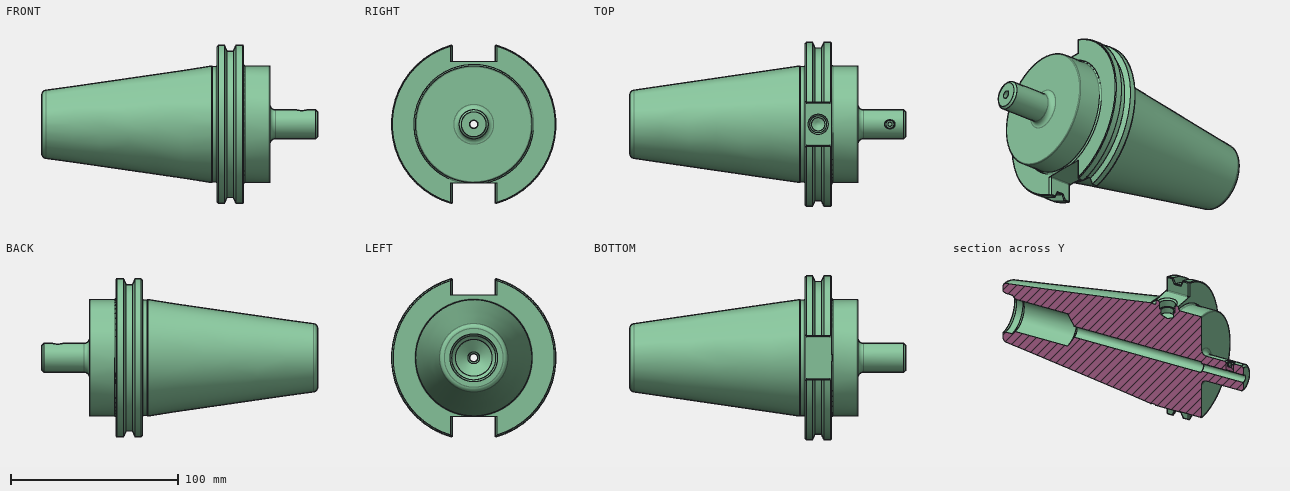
import cadquery as cq
import math


GAUGE_DIA = 69.85
TAPER_RATE = 7 / 24
TAPER_LENGTH = 101.6
TAPER_END_RADIUS = 2.9
NECK_DIA = 69.34
NECK_STEP = 0.5
NECK_FILLET = 0.5

FLANGE_DIA = 98.425
FLANGE_BACK = 3.175
FLANGE_FRONT = 19.05
BACK_RIM_CHAMFER = 1.0
FRONT_RIM_CHAMFER = 0.5
GROOVE_CENTER = (FLANGE_BACK + FLANGE_FRONT) / 2
GROOVE_FLOOR_WIDTH = 3.7
GROOVE_MOUTH_WIDTH = 6.9
GROOVE_DEPTH = 3.4

BODY_DIA = GAUGE_DIA
BODY_FRONT = 34.925
BODY_FILLET = 0.9
BODY_ROUND = 0.5
NOSE_DIA = 17.45
NOSE_FRONT = 63.5
NOSE_FILLET = 3.175
NOSE_CHAMFER = 1.27

MOUTH_DIA = 28.6
MOUTH_DEPTH = 2.0
COUNTERBORE_DIA = 26.36
COUNTERBORE_DEPTH = 6.35
THREAD_BORE_DIA = 21.97
THREAD_BORE_DEPTH = 44.45
PASSAGE_DIA = 7.11
COOLANT_DIA = 4.76
DRILL_POINT_HALF_ANGLE = 59

SLOT_WIDTH = 25.6
SLOT_FACE_CHAMFER = 1.0
SLOT_RIM_CHAMFER = 0.59
SLOT_FLOOR_FILLET = 0.4
UPPER_SLOT_FLOOR = 37.65
LOWER_SLOT_FLOOR = 35.2

SIDE_HOLE_MOUTH_DIA = 12.1
SIDE_HOLE_DIA = 10.13
SIDE_HOLE_DEPTH = 5.3
SIDE_PILOT_DIA = 8.0
SIDE_PILOT_DEPTH = 9.0
SIDE_POINT_HALF_ANGLE = 70

SCREW_X = NOSE_FRONT - 9.525
SCREW_DIA = 4.83
SCREW_POINT_DIA = 4.04
SCREW_BOTTOM = 2.8
SCREW_TOP = 7.6
SCREW_HOLE_MOUTH_DIA = 6.4
SOCKET_WIDTH = 2.38
SOCKET_DEPTH = 2.0


def cone_height(large_dia, small_dia, half_angle):
    return (large_dia - small_dia) / 2 / math.tan(math.radians(half_angle))


def revolve_about_x(profile):
    return profile.close().revolve(360, (0, 0, 0), (1, 0, 0))


def taper_shank():
    end_radius = (GAUGE_DIA - TAPER_RATE * TAPER_LENGTH) / 2
    profile = (
        cq.Workplane("XY")
        .moveTo(-TAPER_LENGTH, 0)
        .lineTo(-TAPER_LENGTH, end_radius)
        .lineTo(0, GAUGE_DIA / 2)
        .lineTo(NECK_STEP, NECK_DIA / 2)
        .lineTo(FLANGE_BACK, NECK_DIA / 2)
        .lineTo(FLANGE_BACK, 0)
    )
    return revolve_about_x(profile).faces("<X").edges().fillet(TAPER_END_RADIUS)


def flange():
    rim = FLANGE_DIA / 2
    floor = rim - GROOVE_DEPTH
    half_floor = GROOVE_FLOOR_WIDTH / 2
    half_mouth = GROOVE_MOUTH_WIDTH / 2
    profile = (
        cq.Workplane("XY")
        .moveTo(FLANGE_BACK, 0)
        .lineTo(FLANGE_BACK, rim - BACK_RIM_CHAMFER)
        .lineTo(FLANGE_BACK + BACK_RIM_CHAMFER, rim)
        .lineTo(GROOVE_CENTER - half_mouth, rim)
        .lineTo(GROOVE_CENTER - half_floor, floor)
        .lineTo(GROOVE_CENTER + half_floor, floor)
        .lineTo(GROOVE_CENTER + half_mouth, rim)
        .lineTo(FLANGE_FRONT - FRONT_RIM_CHAMFER, rim)
        .lineTo(FLANGE_FRONT, rim - FRONT_RIM_CHAMFER)
        .lineTo(FLANGE_FRONT, 0)
    )
    disc = revolve_about_x(profile).union(fillet_ring(FLANGE_FRONT, 1, BODY_DIA / 2, BODY_FILLET))
    for side, floor_height in ((1, UPPER_SLOT_FLOOR), (-1, LOWER_SLOT_FLOOR)):
        disc = cut_drive_slot(disc, side, floor_height)
    return disc


def cut_drive_slot(disc, side, floor_height):
    """Cut a slot above (side = 1) or below (side = -1) the axis and chamfer its walls."""
    half_width = SLOT_WIDTH / 2
    slot_height = FLANGE_DIA / 2
    slot = cq.Workplane("XY").box(FLANGE_FRONT * 2, SLOT_WIDTH, slot_height)
    slot = slot.edges("|X and <Z" if side > 0 else "|X and >Z").fillet(SLOT_FLOOR_FILLET)
    disc = disc.cut(slot.translate((GROOVE_CENTER, 0, side * (floor_height + slot_height / 2))))

    clearance = 0.1
    rim_low = side * (FLANGE_DIA / 2 - 2 * GROOVE_DEPTH)
    rim_edges = cq.selectors.BoxSelector(
        (FLANGE_BACK + clearance, -half_width - clearance, rim_low),
        (FLANGE_FRONT - clearance, half_width + clearance, side * FLANGE_DIA / 2),
    )
    disc = disc.edges(rim_edges).chamfer(SLOT_RIM_CHAMFER)

    for face_x, inward in ((FLANGE_BACK, 1), (FLANGE_FRONT, -1)):
        opening = (
            cq.Workplane("XY", origin=(0, 0, side * floor_height))
            .moveTo(face_x, half_width + SLOT_FACE_CHAMFER)
            .lineTo(face_x + inward * SLOT_FACE_CHAMFER, half_width)
            .lineTo(face_x + inward * SLOT_FACE_CHAMFER, -half_width)
            .lineTo(face_x, -half_width - SLOT_FACE_CHAMFER)
            .close()
            .extrude(side * slot_height)
        )
        disc = disc.cut(opening)
    return disc


def fillet_ring(x_face, direction, radius, size):
    """Ring that rounds the inner corner between a cylinder and a face across the axis."""
    x_end = x_face + direction * size
    profile = (
        cq.Workplane("XY")
        .moveTo(x_face, 0)
        .lineTo(x_face, radius + size)
        .radiusArc((x_end, radius), -direction * size)
        .lineTo(x_end, 0)
    )
    return revolve_about_x(profile)


def cylinder_x(x_start, x_end, diameter):
    return cq.Workplane("YZ", origin=(x_start, 0, 0)).circle(diameter / 2).extrude(x_end - x_start)


def front_body():
    body = cylinder_x(FLANGE_FRONT, BODY_FRONT, BODY_DIA).faces(">X").edges().fillet(BODY_ROUND)
    nose = cylinder_x(BODY_FRONT, NOSE_FRONT, NOSE_DIA).faces(">X").edges().chamfer(NOSE_CHAMFER)
    return body.union(nose)


def axial_bore():
    back = -TAPER_LENGTH
    step = back + COUNTERBORE_DEPTH
    step_end = step + (COUNTERBORE_DIA - THREAD_BORE_DIA) / 2
    cone_start = back + THREAD_BORE_DEPTH
    cone_end = cone_start + cone_height(THREAD_BORE_DIA, PASSAGE_DIA, DRILL_POINT_HALF_ANGLE)
    passage_tip = BODY_FRONT - cone_height(PASSAGE_DIA, COOLANT_DIA, DRILL_POINT_HALF_ANGLE)
    profile = (
        cq.Workplane("XY")
        .moveTo(back, 0)
        .lineTo(back, MOUTH_DIA / 2)
        .lineTo(back + MOUTH_DEPTH, COUNTERBORE_DIA / 2)
        .lineTo(step, COUNTERBORE_DIA / 2)
        .lineTo(step_end, THREAD_BORE_DIA / 2)
        .lineTo(cone_start, THREAD_BORE_DIA / 2)
        .lineTo(cone_end, PASSAGE_DIA / 2)
        .lineTo(passage_tip, PASSAGE_DIA / 2)
        .lineTo(BODY_FRONT, COOLANT_DIA / 2)
        .lineTo(NOSE_FRONT, COOLANT_DIA / 2)
        .lineTo(NOSE_FRONT, 0)
    )
    return revolve_about_x(profile)


def side_hole():
    top = UPPER_SLOT_FLOOR
    step = top - SIDE_HOLE_DEPTH
    pilot_end = top - SIDE_PILOT_DEPTH
    tip = pilot_end - cone_height(SIDE_PILOT_DIA, 0, SIDE_POINT_HALF_ANGLE)
    profile = (
        cq.Workplane("XZ", origin=(GROOVE_CENTER, 0, 0))
        .moveTo(0, top)
        .lineTo(SIDE_HOLE_MOUTH_DIA / 2, top)
        .lineTo(SIDE_HOLE_DIA / 2, top - (SIDE_HOLE_MOUTH_DIA - SIDE_HOLE_DIA) / 2)
        .lineTo(SIDE_HOLE_DIA / 2, step)
        .lineTo(SIDE_PILOT_DIA / 2, step)
        .lineTo(SIDE_PILOT_DIA / 2, pilot_end)
        .lineTo(0, tip)
    )
    return profile.close().revolve(360, (0, 0, 0), (0, 1, 0))


def screw_hole():
    """Hole from the top of the nose down to the coolant bore, countersunk at 45 degrees."""
    top = NOSE_DIA / 2
    bottom = COOLANT_DIA / 4
    profile = (
        cq.Workplane("XZ", origin=(SCREW_X, 0, 0))
        .moveTo(0, bottom)
        .lineTo(SCREW_DIA / 2, bottom)
        .lineTo(SCREW_DIA / 2, top - (SCREW_HOLE_MOUTH_DIA - SCREW_DIA) / 2)
        .lineTo(SCREW_HOLE_MOUTH_DIA / 2, top)
        .lineTo(0, top)
    )
    return profile.close().revolve(360, (0, 0, 0), (0, 1, 0))


def make_holder():
    holder = taper_shank().union(flange()).union(front_body())
    holder = holder.union(fillet_ring(FLANGE_BACK, -1, NECK_DIA / 2, NECK_FILLET))
    holder = holder.union(fillet_ring(BODY_FRONT, 1, NOSE_DIA / 2, NOSE_FILLET))
    return holder.cut(axial_bore()).cut(side_hole()).cut(screw_hole())


def make_set_screw():
    screw = cq.Workplane("XY", origin=(SCREW_X, 0, SCREW_BOTTOM)).circle(SCREW_DIA / 2)
    screw = screw.extrude(SCREW_TOP - SCREW_BOTTOM)
    screw = screw.faces("<Z").edges().chamfer((SCREW_DIA - SCREW_POINT_DIA) / 2)
    socket_corner_dia = SOCKET_WIDTH / math.cos(math.radians(30))
    socket = screw.faces(">Z").workplane().transformed(rotate=(0, 0, 30)).polygon(6, socket_corner_dia)
    return socket.cutBlind(-SOCKET_DEPTH)


holder = make_holder()
set_screw = make_set_screw()

result = cq.Compound.makeCompound([holder.solids().val(), set_screw.solids().val()])